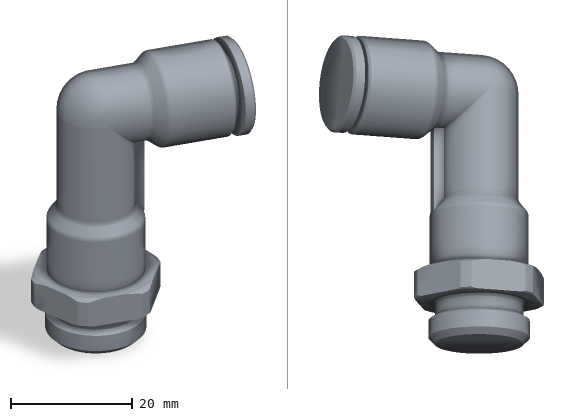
import cadquery as cq
import math

elbow_height = 42.3
pipe_radius = 6.5
body_radius = 8.15
body_shoulder_height = 22.0
shoulder_length = 2.1
shoulder_fillet = 0.95

foot_radius = 8.35
foot_chamfer = 1.05
foot_rim_height = 3.95
groove_radius = 7.3
groove_bottom = 4.55
groove_top = 6.55
groove_flare = 0.2

hex_bottom = 7.0
hex_top = 12.1
hex_across_flats = 20.0
hex_corner_radius = 11.05
hex_top_face_radius = 10.2
hex_top_bevel = 0.45
hex_bottom_face_radius = 10.7
hex_bottom_bevel = 0.2

arm_shoulder_start = 7.95
arm_body_end = 21.9
arm_body_chamfer = 0.35
collar_neck_radius = 5.85
collar_start = 23.0
collar_end = 24.9
collar_half_width = 9.3
collar_half_height = 7.95
collar_chamfer = 0.4

web_thickness = 2.0


def fillet_shoulder(solid, axis_position):
    """Round both rims of a shoulder cone that starts at a position on the Z axis."""
    margin = 0.05
    rims = cq.selectors.BoxSelector(
        (-body_radius * 2, -body_radius * 2, axis_position - margin),
        (body_radius * 2, body_radius * 2, axis_position + shoulder_length + margin),
        boundingbox=True,
    )
    circles = solid.edges(rims).edges("%CIRCLE")
    return circles.fillet(shoulder_fillet)


def make_leg():
    """Body and pipe of the vertical leg, from the hexagon to the elbow."""
    shoulder_top = body_shoulder_height + shoulder_length
    leg = (
        cq.Workplane("XZ")
        .moveTo(0, hex_bottom)
        .lineTo(body_radius, hex_bottom)
        .lineTo(body_radius, body_shoulder_height)
        .lineTo(pipe_radius, shoulder_top)
        .lineTo(pipe_radius, elbow_height)
        .lineTo(0, elbow_height)
        .close()
        .revolve(360, (0, 0), (0, 1))
    )
    return fillet_shoulder(leg, body_shoulder_height)


def make_foot():
    """Grooved foot below the hexagon."""
    return (
        cq.Workplane("XZ")
        .moveTo(0, 0)
        .lineTo(foot_radius - foot_chamfer, 0)
        .lineTo(foot_radius, foot_chamfer)
        .lineTo(foot_radius, foot_rim_height)
        .lineTo(groove_radius, groove_bottom)
        .lineTo(groove_radius, groove_top)
        .lineTo(groove_radius + groove_flare, hex_bottom)
        .lineTo(0, hex_bottom)
        .close()
        .revolve(360, (0, 0), (0, 1))
    )


def make_hexagon():
    """Hexagon with turned corners and bevelled end faces."""
    across_corners = hex_across_flats / math.cos(math.pi / 6)
    prism = (
        cq.Workplane("XY", origin=(0, 0, hex_bottom))
        .transformed(rotate=(0, 0, 90))
        .polygon(6, across_corners)
        .extrude(hex_top - hex_bottom)
    )
    turned_blank = (
        cq.Workplane("XZ")
        .moveTo(0, hex_bottom)
        .lineTo(hex_bottom_face_radius, hex_bottom)
        .lineTo(hex_corner_radius, hex_bottom + hex_bottom_bevel)
        .lineTo(hex_corner_radius, hex_top - hex_top_bevel)
        .lineTo(hex_top_face_radius, hex_top)
        .lineTo(0, hex_top)
        .close()
        .revolve(360, (0, 0), (0, 1))
    )
    return prism.intersect(turned_blank)


def make_arm():
    """Arm from the elbow to the oval collar, built along Z and laid along +Y."""
    arm = (
        cq.Workplane("XZ")
        .moveTo(0, 0)
        .lineTo(pipe_radius, 0)
        .lineTo(pipe_radius, arm_shoulder_start)
        .lineTo(body_radius, arm_shoulder_start + shoulder_length)
        .lineTo(body_radius, arm_body_end - arm_body_chamfer)
        .lineTo(body_radius - arm_body_chamfer, arm_body_end)
        .lineTo(collar_neck_radius, arm_body_end)
        .lineTo(collar_neck_radius, collar_start)
        .lineTo(0, collar_start)
        .close()
        .revolve(360, (0, 0), (0, 1))
    )
    arm = fillet_shoulder(arm, arm_shoulder_start)
    collar = (
        cq.Workplane("XY", origin=(0, 0, collar_start))
        .ellipse(collar_half_width, collar_half_height)
        .extrude(collar_end - collar_start)
        .faces(">Z")
        .chamfer(collar_chamfer)
    )
    arm = arm.union(collar)
    return arm.rotate((0, 0, 0), (1, 0, 0), -90).translate((0, 0, elbow_height))


def make_web():
    """Thin web filling the inside corner, flush with the body."""
    height = elbow_height - body_shoulder_height
    return (
        cq.Workplane("XY", origin=(0, body_radius / 2, body_shoulder_height))
        .rect(web_thickness, body_radius)
        .extrude(height)
    )


elbow_ball = cq.Workplane("XY", origin=(0, 0, elbow_height)).sphere(pipe_radius)

result = (
    make_leg()
    .union(make_foot())
    .union(make_hexagon())
    .union(elbow_ball)
    .union(make_arm())
    .union(make_web())
)